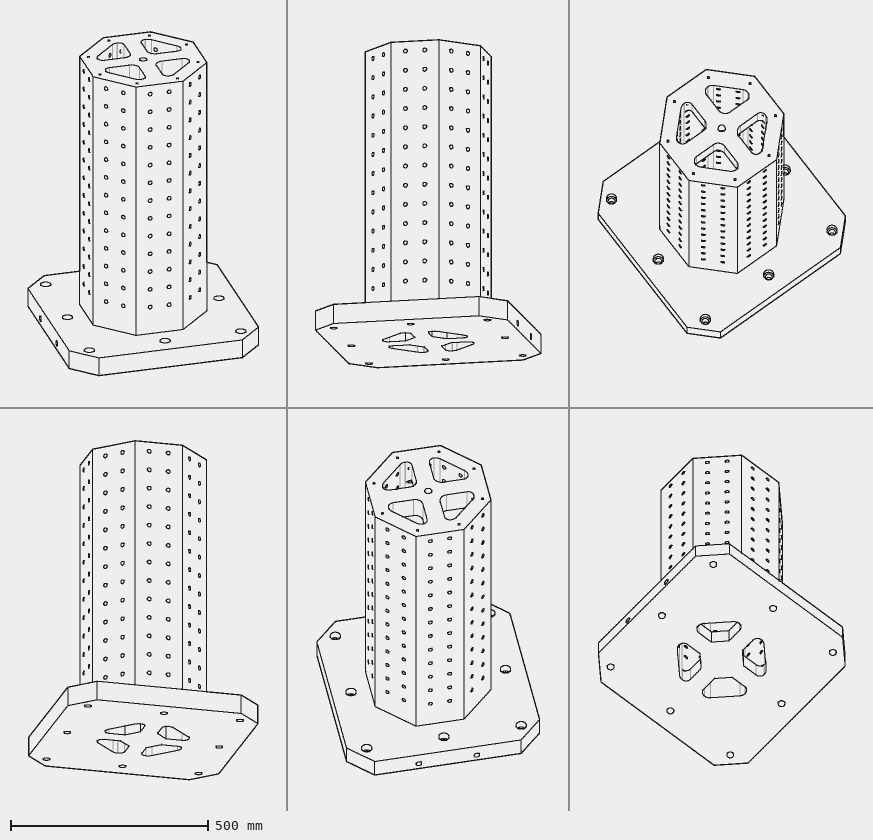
import cadquery as cq
import math

total_height = 750.0
base_side = 500.0
base_thickness = 50.0
base_corner_cut = 61.0

tower_across_flats = 300.0
tower_wall = 40.0
cavity_corner_radius = 19.5
cavity_ceiling_radius = 19.0
web_thickness = 58.5
face_count = 8

rib_thickness = 45.0
opening_inner_radius = 20.0
opening_tip_radius = 14.0
base_inner_cut = 31.5

grid_pitch = tower_across_flats / 6
grid_rows = 13
grid_hole_diameter = 10.0
grid_hole_depth = tower_wall

ring_hole_diameter = 5.0
ring_hole_depth = 15.0
ring_radius = 140.0
center_hole_diameter = 18.0
center_hole_depth = 45.0

mount_spacing = 4 * grid_pitch
mount_hole_diameter = 17.0
counterbore_diameter = 26.0
counterbore_depth = 20.0

edge_hole_diameter = 14.0
edge_hole_depth = 30.0
edge_hole_offset = 75.0
edge_hole_height = 18.0

drill_point_angle = 118.0
face_angle = 360.0 / face_count
tower_height = total_height - base_thickness
web_depth_at_wall = web_thickness + cavity_ceiling_radius
cavity_across_flats = tower_across_flats - 2 * tower_wall


def turned(shape, angle):
    """Copy of a shape turned about the tower axis."""
    return shape.rotate((0, 0, 0), (0, 0, 1), angle)


def drill(diameter, depth):
    """Blind hole going down from the origin and ending in a drill point."""
    radius = diameter / 2
    point_depth = radius / math.tan(math.radians(drill_point_angle / 2))
    profile = [(0, 0), (radius, 0), (radius, -depth), (0, -depth - point_depth)]
    return cq.Workplane("XZ").polyline(profile).close().revolve(360, (0, 0), (0, 1))


def octagon_prism(across_flats, bottom, height):
    """Upright octagon with faces square to X and Y."""
    across_corners = across_flats / math.cos(math.radians(face_angle / 2))
    prism = cq.Workplane("XY").polygon(face_count, across_corners).extrude(height)
    return turned(prism, face_angle / 2).translate((0, 0, bottom))


def cavity_prism(bottom, height):
    """Octagonal hollow of the tower with rounded upright corners."""
    return octagon_prism(cavity_across_flats, bottom, height).edges("|Z").fillet(cavity_corner_radius)


def opening_prism(bottom, height):
    """Part of the cavity outline between two ribs, in the +X +Y quadrant, with rounded tips."""
    quadrant = cq.Workplane("XY").box(base_side, base_side, total_height, centered=False)
    quadrant = quadrant.translate((rib_thickness / 2, rib_thickness / 2, 0))
    prism = cavity_prism(bottom, height).intersect(quadrant)
    tips = prism.edges("|Z").edges("<X or <Y").edges("not <(1, 1, 0)")
    return tips.fillet(opening_tip_radius)


def inner_edge(prism):
    """Upright edge of an opening that is nearest to the tower axis."""
    return prism.edges("|Z").edges("<(1, 1, 0)")


def make_base():
    slab = cq.Workplane("XY").box(base_side, base_side, base_thickness, centered=(True, True, False))
    return slab.edges("|Z").chamfer(base_corner_cut)


def make_tower():
    outside = octagon_prism(tower_across_flats, base_thickness, tower_height)
    cavity = cavity_prism(base_thickness, tower_height - web_thickness)
    cavity = cavity.faces(">Z").edges().fillet(cavity_ceiling_radius)
    return outside.cut(cavity)


def cut_openings(body):
    """Openings through the web with rounded inner corners, and through the base with cut ones."""
    web_opening = opening_prism(total_height - web_depth_at_wall, web_depth_at_wall)
    web_opening = inner_edge(web_opening).fillet(opening_inner_radius)
    base_opening = opening_prism(0, base_thickness)
    base_opening = inner_edge(base_opening).chamfer(base_inner_cut)
    for quadrant in range(4):
        body = body.cut(turned(web_opening, 90 * quadrant))
        body = body.cut(turned(base_opening, 90 * quadrant))
    return body


def cut_fixture_grid(body):
    """The same two columns of holes on all faces; the top row starts half a pitch below the top."""
    hole = drill(grid_hole_diameter, grid_hole_depth).rotate((0, 0, 0), (0, 1, 0), 90)
    grid = cq.Workplane("XY")
    for row in range(grid_rows):
        height = total_height - grid_pitch * (row + 0.5)
        for side in (-grid_pitch / 2, grid_pitch / 2):
            grid = grid.add(hole.translate((tower_across_flats / 2, side, height)))
    grid = grid.combine()
    for face in range(face_count):
        body = body.cut(turned(grid, face_angle * face))
    return body


def cut_top_holes(body):
    """A ring of small holes near the corners of the top face, and one hole on the axis."""
    ring_hole = drill(ring_hole_diameter, ring_hole_depth).translate((ring_radius, 0, total_height))
    for corner in range(face_count):
        body = body.cut(turned(ring_hole, face_angle * (corner + 0.5)))
    center_hole = drill(center_hole_diameter, center_hole_depth)
    return body.cut(center_hole.translate((0, 0, total_height)))


def cut_mount_holes(body):
    """Counterbored holes at the corners and edge middles of a square around the tower."""
    steps = (-mount_spacing, 0, mount_spacing)
    points = [(x, y) for x in steps for y in steps if (x, y) != (0, 0)]
    holes = cq.Workplane("XY").pushPoints(points).circle(mount_hole_diameter / 2).extrude(base_thickness)
    counterbores = (
        cq.Workplane("XY", origin=(0, 0, base_thickness))
        .pushPoints(points)
        .circle(counterbore_diameter / 2)
        .extrude(-counterbore_depth)
    )
    return body.cut(holes).cut(counterbores)


def cut_edge_holes(body):
    """Pair of blind holes in the -Y edge of the base."""
    hole = drill(edge_hole_diameter, edge_hole_depth).rotate((0, 0, 0), (1, 0, 0), 90)
    for x in (-edge_hole_offset, edge_hole_offset):
        body = body.cut(hole.translate((x, -base_side / 2, edge_hole_height)))
    return body


result = make_base().union(make_tower())
result = cut_openings(result)
result = cut_fixture_grid(result)
result = cut_top_holes(result)
result = cut_mount_holes(result)
result = cut_edge_holes(result)